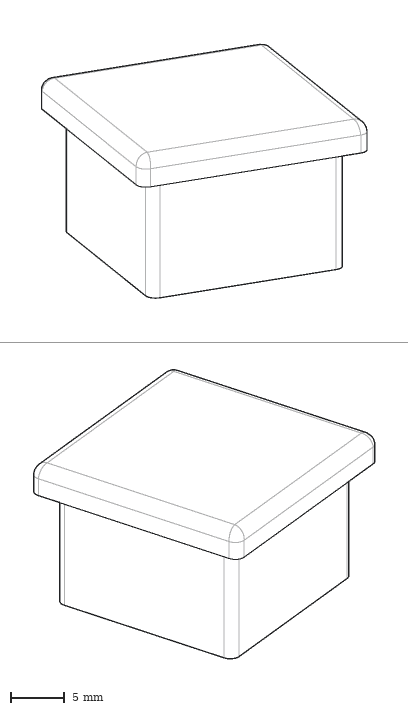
import cadquery as cq

cap_width = 23.5
total_height = 15.0
cap_height = 3.0
plug_width = 20.0
plug_height = total_height - cap_height

corner_radius = 1.0
top_radius = 1.2


def rounded_block(width, height, base_z):
    """Square block centred on Z with rounded upright corners."""
    block = cq.Workplane("XY").workplane(offset=base_z).rect(width, width).extrude(height)
    return block.edges("|Z").fillet(corner_radius)


plug = rounded_block(plug_width, plug_height, 0)

cap = rounded_block(cap_width, cap_height, plug_height)
cap = cap.faces(">Z").edges().fillet(top_radius)

result = plug.union(cap)